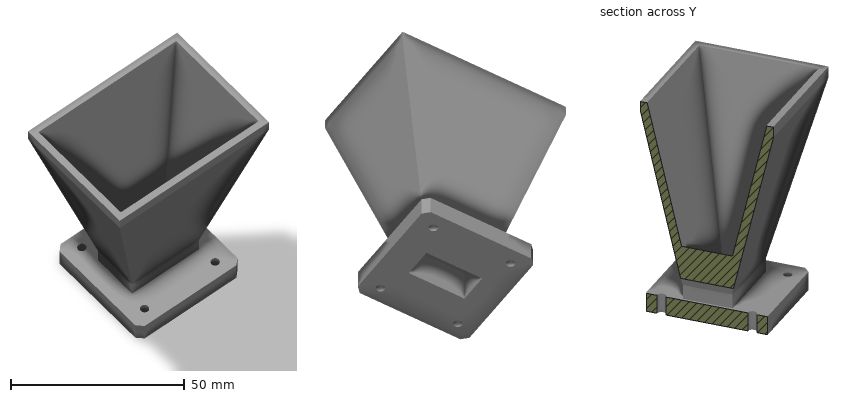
import cadquery as cq

throat_x = 9.525
throat_y = 19.05
neck_wall = 3.0
neck_x = throat_x + 2 * neck_wall
neck_y = throat_y + 2 * neck_wall

mouth_x = 41.72
mouth_y = 55.86
mouth_wall = 2.18
mouth_open_x = mouth_x - 2 * mouth_wall
mouth_open_y = mouth_y - 2 * mouth_wall

flange_side = 38.2
flange_corner = 1.9
hole_diameter = 2.7
hole_spacing_x = 28.5
hole_spacing_y = 26.42

total_height = 68.0
flange_height = 6.0
neck_height = 4.5
neck_top = flange_height + neck_height
rim_height = 3.5
rim_base = total_height - rim_height


def block(size_x, size_y, bottom, top):
    """Rectangular block centred on the horn axis."""
    return cq.Workplane("XY").workplane(offset=bottom).rect(size_x, size_y).extrude(top - bottom)


def taper(bottom_x, bottom_y, bottom, top_x, top_y, top):
    """Rectangular frustum centred on the horn axis."""
    return (
        cq.Workplane("XY")
        .workplane(offset=bottom)
        .rect(bottom_x, bottom_y)
        .workplane(offset=top - bottom)
        .rect(top_x, top_y)
        .loft(ruled=True)
    )


def make_flange():
    """Square flange with bevelled corners and four bolt holes."""
    flange = block(flange_side, flange_side, 0, flange_height).edges("|Z").chamfer(flange_corner)
    return (
        flange.faces(">Z")
        .workplane()
        .rect(hole_spacing_x, hole_spacing_y, forConstruction=True)
        .vertices()
        .hole(hole_diameter)
    )


def make_horn_body():
    """Solid outer form: neck, flared horn and straight rim."""
    neck = block(neck_x, neck_y, flange_height, neck_top)
    flare = taper(neck_x, neck_y, neck_top, mouth_x, mouth_y, rim_base)
    rim = block(mouth_x, mouth_y, rim_base, total_height)
    return neck.union(flare).union(rim)


def make_passage():
    """Straight waveguide throat opening into the flared horn cavity."""
    throat = block(throat_x, throat_y, 0, neck_top)
    flare = taper(throat_x, throat_y, neck_top, mouth_open_x, mouth_open_y, total_height)
    return throat.union(flare)


result = make_flange().union(make_horn_body()).cut(make_passage())